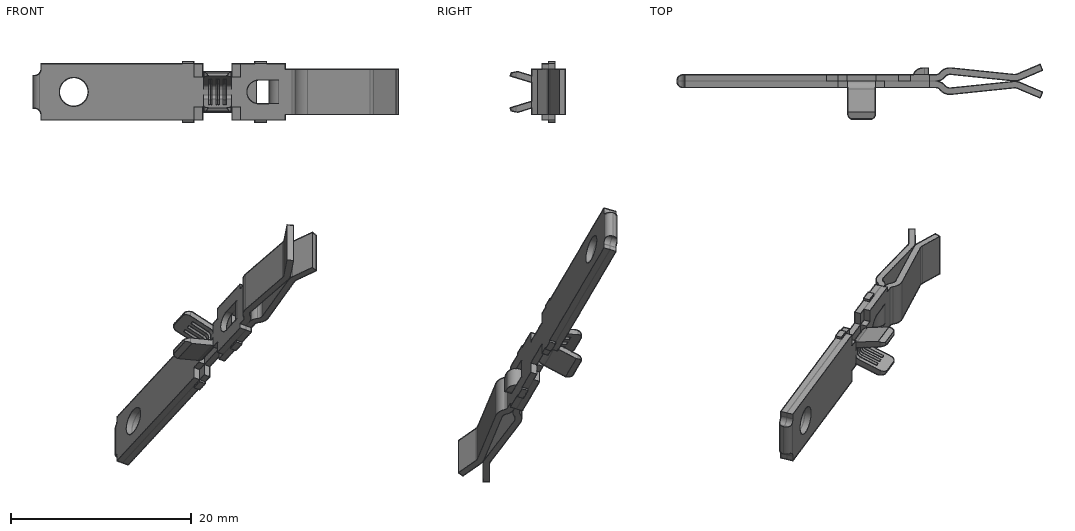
import cadquery as cq
import math


sheet = 0.73
length = 40.5
body_start = 0.9
body_end = 27.95
body_half_height = 3.1
arm_half_height = 2.5

nose_half_height = 1.82
nose_corner_radius = 0.7
hole_x = 4.55
hole_radius = 1.6

tabs_overall_height = 6.75
tab_half_height = tabs_overall_height / 2
tab_spans = [(16.55, 17.82), (24.55, 25.9)]

waist_half_height = 1.65
front_notch = (17.82, 22.95)
back_notch = (18.85, 22.05)

tongue_start = 18.9
tongue_width = 3.08
tongue_reach = 4.25
tongue_tilt = 17.0
tongue_inner_radius = 0.5
tongue_tip_radius = 0.65
tip_chamfer_length = 0.65
tip_chamfer_depth = 0.35
web_half_height = 0.32

groove_count = 3
groove_pitch = 0.8
groove_width = 0.4
groove_depth = 0.2
groove_reach = 3.0

window_half_height = 1.3
front_window_start = 23.7
back_window_start = 24.8
latch_start = 26.13
latch_fold_radius = 1.5 * sheet
latch_fold_x = latch_start + latch_fold_radius
latch_end = 27.87
latch_corner_radius = 0.45

flare_start = 28.72
flare_angle = 52.0
closing_angle = 5.9
tip_angle = 23.0
flare_radius = 0.85
crest_radius = 1.1
contact_radius = 1.17
contact_gap = 0.05


def block(x_span, y_span, z_span):
    size = [span[1] - span[0] for span in (x_span, y_span, z_span)]
    corner = (x_span[0], y_span[0], z_span[0])
    return cq.Workplane("XY").box(*size, centered=False).translate(corner)


def symmetric_block(x_span, y_span, half_height):
    return block(x_span, y_span, (-half_height, half_height))


def mirrored_about_z(shape):
    return shape.union(shape.mirror("XY"))


def hem(x_crown, y_center, radius, half_height):
    """Half-round fold with its crown at x_crown."""
    profile = (
        cq.Workplane("XY", origin=(0, 0, -half_height))
        .moveTo(x_crown + radius, y_center + radius)
        .threePointArc((x_crown, y_center), (x_crown + radius, y_center - radius))
        .close()
    )
    return profile.extrude(2 * half_height)


def nose():
    """Hem joining both leaves, widening into the body through round inside corners."""
    root_half_height = nose_half_height + nose_corner_radius
    corner_start = body_start - nose_corner_radius
    diagonal = nose_corner_radius * math.sqrt(0.5)
    arc_middle = (corner_start + diagonal, root_half_height - diagonal)
    outline = (
        cq.Workplane("XZ", origin=(0, sheet, 0))
        .lineTo(0, nose_half_height)
        .lineTo(corner_start, nose_half_height)
        .threePointArc(arc_middle, (body_start, root_half_height))
        .lineTo(body_start, 0)
        .close()
        .extrude(2 * sheet)
    )
    neck = symmetric_block((sheet, body_start), (-sheet, sheet), root_half_height)
    fold = hem(0, 0, sheet, root_half_height).union(neck)
    return fold.intersect(mirrored_about_z(outline))


def leaf_blank(y_span, notch_span):
    """One flat leaf with its half of the nose, the terminal hole and the waist notches."""
    nose_half = nose().intersect(symmetric_block((0, body_start), y_span, body_half_height))
    leaf = symmetric_block((body_start, body_end), y_span, body_half_height).union(nose_half)
    notch = block(notch_span, y_span, (waist_half_height, body_half_height))
    hole = cq.Workplane("XZ", origin=(hole_x, sheet, 0)).circle(hole_radius).extrude(2 * sheet)
    return leaf.cut(mirrored_about_z(notch)).cut(hole)


def bend(path, start, radius, heading, turn):
    """Add a tangent arc from start, turning left by turn; return the path and the arc end."""
    side = math.copysign(radius, turn)

    def arc_point(part):
        angle = heading + part * turn
        x = start[0] + side * (math.sin(angle) - math.sin(heading))
        y = start[1] + side * (math.cos(heading) - math.cos(angle))
        return x, y

    return path.threePointArc(arc_point(0.5), arc_point(1)), arc_point(1)


def spring_arm():
    """Arm of the back leaf: flares out, closes to the contact point and opens again."""
    middle_y = sheet / 2
    flare, closing, tip = (math.radians(a) for a in (flare_angle, closing_angle, tip_angle))

    path = cq.Workplane("XY").moveTo(body_end, middle_y).lineTo(flare_start, middle_y)
    path, flare_end = bend(path, (flare_start, middle_y), flare_radius, 0, flare)
    path, crest_end = bend(path, flare_end, crest_radius, flare, -flare - closing)

    lowest_y = middle_y + contact_gap / 2
    contact_y = lowest_y + contact_radius * (1 - math.cos(closing))
    contact_x = crest_end[0] + (crest_end[1] - contact_y) / math.tan(closing)
    path = path.lineTo(contact_x, contact_y)
    path, contact_end = bend(path, (contact_x, contact_y), contact_radius, -closing, closing + tip)

    tip_x = length - middle_y * math.sin(tip)
    tip_y = contact_end[1] + (tip_x - contact_end[0]) * math.tan(tip)
    path = path.lineTo(tip_x, tip_y)

    section = cq.Workplane("YZ", origin=(body_end, middle_y, 0)).rect(sheet, 2 * arm_half_height)
    return section.sweep(path)


def back_leaf():
    y_span = (0, sheet)
    leaf = leaf_blank(y_span, back_notch)
    for span in tab_spans:
        tab = block(span, y_span, (body_half_height, tab_half_height))
        leaf = leaf.union(mirrored_about_z(tab))
    leaf = leaf.cut(symmetric_block((back_window_start, latch_fold_x), y_span, window_half_height))
    return leaf.union(spring_arm())


def latch():
    """Tongue of the front leaf folded through the back leaf and flat onto its back face."""
    fold = hem(latch_start, sheet / 2, latch_fold_radius, window_half_height)
    flap = symmetric_block((latch_fold_x, latch_end), (sheet, 2 * sheet), window_half_height)
    return fold.union(flap.edges("|Y and >X").fillet(latch_corner_radius))


def bend_point(radius, angle, run=0.0):
    """(Y, Z) point on the tongue bend, carried on by a straight run along the tongue."""
    y = -sheet - tongue_inner_radius + radius * math.cos(angle) - run * math.sin(angle)
    z = web_half_height + radius * math.sin(angle) + run * math.cos(angle)
    return y, z


tongue_turn = math.radians(90 - tongue_tilt)


def straight_run(reach):
    """Length of tongue beyond its bend that takes the inner face out to Y = -reach."""
    return (reach + bend_point(tongue_inner_radius, tongue_turn)[0]) / math.sin(tongue_turn)


def tongue():
    """Upper tongue with half of the web, chamfered and rounded at its tip."""
    inner = tongue_inner_radius
    outer = inner + sheet
    run = straight_run(tongue_reach)
    bent_sheet = (
        cq.Workplane("YZ", origin=(tongue_start, 0, 0))
        .moveTo(-sheet, 0)
        .lineTo(*bend_point(inner, 0))
        .threePointArc(bend_point(inner, tongue_turn / 2), bend_point(inner, tongue_turn))
        .lineTo(*bend_point(inner, tongue_turn, run))
        .lineTo(*bend_point(outer - tip_chamfer_depth, tongue_turn, run))
        .lineTo(*bend_point(outer, tongue_turn, run - tip_chamfer_length))
        .lineTo(*bend_point(outer, tongue_turn))
        .threePointArc(bend_point(outer, tongue_turn / 2), bend_point(outer, 0))
        .lineTo(0, 0)
        .close()
        .extrude(tongue_width)
    )
    x_span = (tongue_start, tongue_start + tongue_width)
    plan = symmetric_block(x_span, (-tongue_reach, 0), body_half_height)
    return bent_sheet.intersect(plan.edges("|Z and <Y").fillet(tongue_tip_radius))


def groove(x_center):
    """V groove that follows the inner face from the web out along the upper tongue."""
    inner = tongue_inner_radius
    path = (
        cq.Workplane("YZ", origin=(x_center, 0, 0))
        .moveTo(-sheet, 0)
        .lineTo(*bend_point(inner, 0))
        .threePointArc(bend_point(inner, tongue_turn / 2), bend_point(inner, tongue_turn))
        .lineTo(*bend_point(inner, tongue_turn, straight_run(groove_reach)))
    )
    section = cq.Workplane("XY").polyline(
        [
            (x_center - groove_width / 2, -sheet),
            (x_center, groove_depth - sheet),
            (x_center + groove_width / 2, -sheet),
        ]
    )
    return section.close().sweep(path)


def front_leaf():
    y_span = (-sheet, 0)
    leaf = leaf_blank(y_span, front_notch)
    opening = (tongue_start, tongue_start + tongue_width)
    leaf = leaf.cut(symmetric_block(opening, y_span, waist_half_height))
    leaf = leaf.union(mirrored_about_z(tongue()))
    for index in range(groove_count):
        offset = (index - (groove_count - 1) / 2) * groove_pitch
        upper_groove = groove(tongue_start + tongue_width / 2 + offset)
        leaf = leaf.cut(upper_groove).cut(upper_groove.mirror("XY"))

    round_center_x = front_window_start + window_half_height
    window = symmetric_block((round_center_x, latch_fold_x), y_span, window_half_height)
    round_end = cq.Workplane("XZ", origin=(round_center_x, 0, 0)).circle(window_half_height)
    leaf = leaf.cut(window).cut(round_end.extrude(sheet))
    return leaf.union(latch()).union(spring_arm().mirror("XZ"))


result = back_leaf().union(front_leaf(), clean=False)